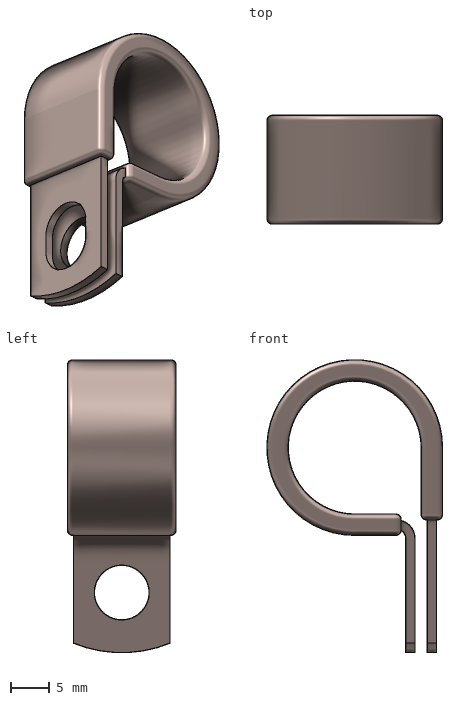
import cadquery as cq
import math


strip_width = 12.7
strip_thickness = 1.23
bend_radius = 2.4
tab_bottom = -26.92
tab_end_rise = 1.26
bolt_hole_diameter = 7.14
bolt_hole_z = -19.02
slot_length = 9.52

bore_radius = 8.71
cushion_thickness = 0.795
cushion_edge_radius = 0.75
lower_leg_length = 6.1
side_leg_length = 9.5

strip_inner_radius = bore_radius + cushion_thickness
strip_outer_radius = strip_inner_radius + strip_thickness
cushion_outer_radius = strip_outer_radius + cushion_thickness
leg_middle_radius = (bore_radius + cushion_outer_radius) / 2
cushion_width = strip_width + 2 * cushion_thickness
tab_gap = 2 * cushion_thickness
inner_tab_right = strip_inner_radius - tab_gap
inner_tab_left = inner_tab_right - strip_thickness
bend_center_x = inner_tab_right - bend_radius
bend_center_z = -strip_inner_radius - bend_radius
bend_inner_radius = bend_radius - strip_thickness


def point_on_circle(radius, angle_degrees, center=(0, 0)):
    angle = math.radians(angle_degrees)
    return (center[0] + radius * math.cos(angle), center[1] + radius * math.sin(angle))


def extrude_about_middle(profile, width):
    """Extrude a closed XZ profile to the given width, centred on Y = 0."""
    return profile.extrude(width / 2, both=True)


def make_cushion():
    """Three-quarter ring with two straight legs, rounded on every edge."""
    loop_middle = 135
    profile = (
        cq.Workplane("XZ")
        .moveTo(cushion_outer_radius, -side_leg_length)
        .lineTo(cushion_outer_radius, 0)
        .threePointArc(point_on_circle(cushion_outer_radius, loop_middle), (0, -cushion_outer_radius))
        .lineTo(lower_leg_length, -cushion_outer_radius)
        .lineTo(lower_leg_length, -bore_radius)
        .lineTo(0, -bore_radius)
        .threePointArc(point_on_circle(bore_radius, loop_middle), (bore_radius, 0))
        .lineTo(bore_radius, -side_leg_length)
        .close()
    )
    body = extrude_about_middle(profile, cushion_width)
    lower_leg_end = cq.selectors.NearestToPointSelector((lower_leg_length, 0, -leg_middle_radius))
    side_leg_end = cq.selectors.NearestToPointSelector((leg_middle_radius, 0, -side_leg_length))
    rounded_edges = (
        body.faces("|Y").edges()
        .add(body.faces(lower_leg_end).edges("|Y"))
        .add(body.faces(side_leg_end).edges("|Y"))
    )
    return rounded_edges.fillet(cushion_edge_radius)


def make_inner_tab():
    """Strip leaving the lower leg, bending down into the inner tab."""
    bend_center = (bend_center_x, bend_center_z)
    bend_middle = 45
    profile = (
        cq.Workplane("XZ")
        .moveTo(0, -strip_inner_radius)
        .lineTo(bend_center_x, -strip_inner_radius)
        .threePointArc(point_on_circle(bend_radius, bend_middle, bend_center), (inner_tab_right, bend_center_z))
        .lineTo(inner_tab_right, tab_bottom)
        .lineTo(inner_tab_left, tab_bottom)
        .lineTo(inner_tab_left, bend_center_z)
        .threePointArc(
            point_on_circle(bend_inner_radius, bend_middle, bend_center),
            (bend_center_x, -strip_outer_radius),
        )
        .lineTo(0, -strip_outer_radius)
        .close()
    )
    return extrude_about_middle(profile, strip_width)


def make_outer_tab():
    """Flat strip running straight down out of the side leg."""
    profile = (
        cq.Workplane("XZ")
        .moveTo(strip_inner_radius, 0)
        .lineTo(strip_outer_radius, 0)
        .lineTo(strip_outer_radius, tab_bottom)
        .lineTo(strip_inner_radius, tab_bottom)
        .close()
    )
    return extrude_about_middle(profile, strip_width)


def make_tab_outline():
    """Solid along X whose YZ outline is the tab shape with its arc end."""
    half_width = strip_width / 2
    corner_z = tab_bottom + tab_end_rise
    return (
        cq.Workplane("YZ")
        .moveTo(-half_width, 0)
        .lineTo(-half_width, corner_z)
        .threePointArc((0, tab_bottom), (half_width, corner_z))
        .lineTo(half_width, 0)
        .close()
        .extrude(cushion_outer_radius)
    )


def make_bolt_hole_cutter():
    """Round hole through the inner tab."""
    return (
        cq.Workplane("YZ", origin=(inner_tab_left, 0, bolt_hole_z))
        .circle(bolt_hole_diameter / 2)
        .extrude(strip_thickness)
    )


def make_slot_cutter():
    """Vertical slot through the outer tab, level with the bolt hole."""
    slot_angle = 90
    return (
        cq.Workplane("YZ", origin=(strip_inner_radius, 0, bolt_hole_z))
        .slot2D(slot_length, bolt_hole_diameter, slot_angle)
        .extrude(strip_thickness)
    )


tab_outline = make_tab_outline()
inner_tab = make_inner_tab().intersect(tab_outline).cut(make_bolt_hole_cutter())
outer_tab = make_outer_tab().intersect(tab_outline).cut(make_slot_cutter())
result = make_cushion().union(inner_tab).union(outer_tab)